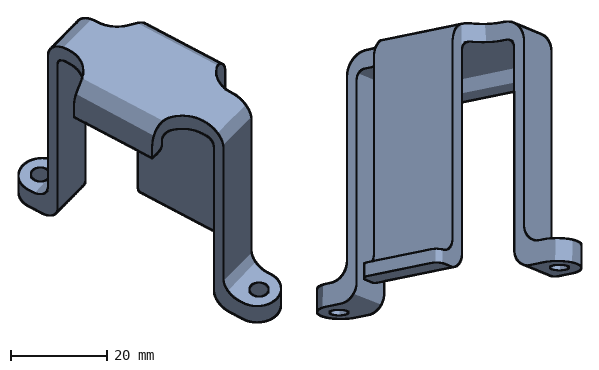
import cadquery as cq
import math

height = 54.0
plate_thickness = 4.0
bend_outer_radius = 5.0
bend_inner_radius = 2.0

side_length = 65.0
side_width = 10.0
side_leg_span = 45.0
side_leg_thickness = 2.5
side_foot_thickness = 5.0
side_foot_radius = 4.0
hole_spacing = 56.0
hole_diameter = 4.0

clip_width = 20.0
clip_face_y = 13.0
clip_leg_thickness = 3.0
rear_foot_end_y = 18.0
rear_foot_thickness = 3.0
rear_foot_radius = 3.5
rear_foot_corner_radius = 2.0
lip_drop = 9.0
lip_edge_radius = 1.5

blend_radius = 7.0

plate_underside = height - plate_thickness
side_foot_end = side_length / 2
side_face = side_leg_span / 2
side_inner_face = side_face - side_leg_thickness
clip_inner_y = clip_face_y - clip_leg_thickness
lip_bottom = height - lip_drop
plate_half_length = side_face - bend_outer_radius


def rounded_outline(plane, corners):
    """Closed outline of straight sides with right-angle corners given as (u, v, radius)."""
    outline = cq.Workplane(plane)
    count = len(corners)
    for i, (u, v, radius) in enumerate(corners):
        corner = cq.Vector(u, v)
        before = cq.Vector(*corners[i - 1][:2])
        after = cq.Vector(*corners[(i + 1) % count][:2])
        to_before = (before - corner).normalized() * radius
        to_after = (after - corner).normalized() * radius
        arc_start = corner + to_before
        arc_end = corner + to_after
        arc_middle = corner + (to_before + to_after) * (1 - math.sqrt(0.5))
        if i == 0:
            outline = outline.moveTo(arc_start.x, arc_start.y)
        else:
            outline = outline.lineTo(arc_start.x, arc_start.y)
        if radius > 0:
            outline = outline.threePointArc((arc_middle.x, arc_middle.y), (arc_end.x, arc_end.y))
    return outline.close()


def make_side_strap():
    """Symmetric bridge along X with round-ended, drilled feet."""
    right_half = [
        (side_inner_face, plate_underside, bend_inner_radius),
        (side_inner_face, 0, side_foot_radius),
        (side_foot_end, 0, 0),
        (side_foot_end, side_foot_thickness, 0),
        (side_face, side_foot_thickness, side_foot_radius),
        (side_face, height, bend_outer_radius),
    ]
    left_half = [(-x, z, radius) for x, z, radius in reversed(right_half)]
    strap = rounded_outline("XZ", right_half + left_half).extrude(side_width / 2, both=True)
    round_ends = cq.Workplane("XY").slot2D(side_length, side_width).extrude(height)
    holes = (
        cq.Workplane("XY")
        .pushPoints([(-hole_spacing / 2, 0), (hole_spacing / 2, 0)])
        .circle(hole_diameter / 2)
        .extrude(height)
    )
    return strap.intersect(round_ends).cut(holes)


def make_clip_strap():
    """Strap along Y, trimmed from above to its flared outline."""
    section = [
        (clip_inner_y, plate_underside, bend_inner_radius),
        (clip_inner_y, 0, rear_foot_radius),
        (rear_foot_end_y, 0, 0),
        (rear_foot_end_y, rear_foot_thickness, 0),
        (clip_face_y, rear_foot_thickness, rear_foot_radius),
        (clip_face_y, height, bend_outer_radius),
        (-clip_face_y, height, bend_outer_radius),
        (-clip_face_y, lip_bottom, 0),
        (-clip_inner_y, lip_bottom, lip_edge_radius),
        (-clip_inner_y, plate_underside, bend_inner_radius),
    ]
    strap = rounded_outline("YZ", section).extrude(plate_half_length, both=True)
    right_plan = [
        (clip_width / 2, -clip_face_y, 0),
        (clip_width / 2, -side_width / 2, blend_radius),
        (plate_half_length, -side_width / 2, 0),
        (plate_half_length, side_width / 2, 0),
        (clip_width / 2, side_width / 2, blend_radius),
        (clip_width / 2, rear_foot_end_y, rear_foot_corner_radius),
    ]
    left_plan = [(-x, y, radius) for x, y, radius in reversed(right_plan)]
    plan = rounded_outline("XY", right_plan + left_plan).extrude(height)
    return strap.intersect(plan)


result = make_side_strap().union(make_clip_strap()).clean()